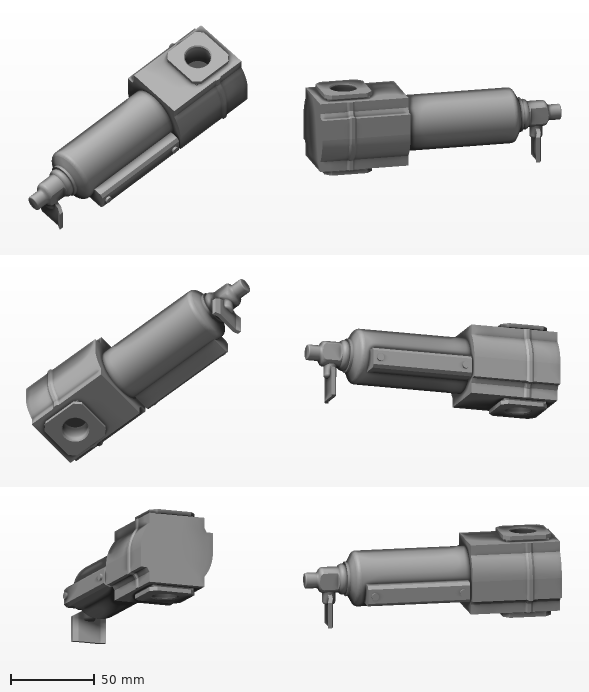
import cadquery as cq
import math

overall_length = 152.8

head_length = 54.5
head_half_height = 21.2
head_half_width = 17.9
cheek_radius = 23.4
shoulder_height = 12.4
shoulder_step = 1.5
shoulder_slope_top = 15.1
rib_depth = 19.0
rib_height = 0.8
rib_base_width = 4.6
rib_top_width = 2.0

flange_width = 29.3
flange_corner = 3.7
flange_outer_height = 25.0
flange_thickness = 2.5
neck_width = 26.3
port_radius = 7.8
port_chamfer = 0.69
port_length = 15.3

bowl_radius = 16.8
bowl_cone_depth = 122.9
bowl_edge_fillet = 3.0
cone_slope = math.tan(math.radians(60))
collar_radius = 10.4
collar_end = 128.2

gauge_start = 56.2
gauge_end = 118.5
gauge_height = shoulder_height
gauge_outer_x = 24.1
gauge_chamfer = 1.8
screw_radius = 2.1
screw_inset = 4.1
screw_end_x = 25.5

bead_depth = 129.9
bead_radius = 9.3
bead_round = 2.8
drain_radius = 7.8
drain_cone_depth = 143.3
drain_edge_fillet = 2.5
tip_radius = 4.7
tip_root_fillet = 1.5
tip_edge_fillet = 0.8
flat_half_width = 6.0
flat_start = 133.5

stem_depth = 138.0
stem_radius = 4.0
stem_bottom = -15.0
stem_fillet = 1.8
lever_half_width = 10.2
lever_bend = 7.0
lever_thickness = 2.5
lever_offset = 1.4
lever_bottom = -27.8
lever_top = -7.5
lever_wing_top = -12.0
lever_top_slope = math.tan(math.radians(30))


def head_outline(offset):
    """Head section in X and Z, its sides moved outward by offset; unchanged by a half turn."""
    side = head_half_width + offset
    radius = cheek_radius + offset
    shoulder = shoulder_height + offset
    arc_end = math.sqrt(radius**2 - side**2)
    arc_angle = math.atan2(arc_end, side) / 2
    mid_x = radius * math.cos(arc_angle)
    mid_z = radius * math.sin(arc_angle)
    return (
        cq.Sketch()
        .segment((side, head_half_height), (side, arc_end))
        .arc((side, arc_end), (mid_x, mid_z), (radius, 0))
        .segment((radius, -shoulder))
        .segment((side + shoulder_step, -shoulder))
        .segment((side, -shoulder_slope_top - offset))
        .segment((side, -head_half_height))
        .segment((-side, -head_half_height))
        .segment((-side, -arc_end))
        .arc((-side, -arc_end), (-mid_x, -mid_z), (-radius, 0))
        .segment((-radius, shoulder))
        .segment((-side - shoulder_step, shoulder))
        .segment((-side, shoulder_slope_top + offset))
        .segment((-side, head_half_height))
        .close()
        .assemble()
    )


def section_plane(depth):
    """Plane across the bowl axis, with local x along X, local y along Z and its normal along -Y."""
    return cq.Workplane("XZ", origin=(0, -depth, 0))


def axial_plane():
    """Plane through the bowl axis for turned profiles, with local x along Y and local y along Z."""
    return cq.Workplane("YZ")


def ring_at(depth):
    """Selector of the round edge that lies at one depth on a turned shape."""
    half_slice = 0.2
    return cq.selectors.BoxSelector(
        (-bowl_radius, -depth - half_slice, -bowl_radius),
        (bowl_radius, -depth + half_slice, bowl_radius),
    )


def head_rib():
    """Trapezoidal band round both flanks of the head."""
    rib_start = rib_depth - rib_base_width / 2
    slope_width = (rib_base_width - rib_top_width) / 2

    def ramp(base_depth, top_depth):
        """Sloping side of the band, from the plain head outline to the raised one."""
        top = head_outline(rib_height).moved(cq.Location(cq.Vector(0, 0, top_depth - base_depth)))
        return section_plane(base_depth).placeSketch(head_outline(0), top).loft(ruled=True)

    rib_end = rib_start + rib_base_width
    top_start = rib_start + slope_width
    top_end = rib_end - slope_width
    middle = section_plane(top_start).placeSketch(head_outline(rib_height)).extrude(rib_top_width)
    return middle.union(ramp(rib_start, top_start)).union(ramp(rib_end, top_end))


def port_flange():
    """Square flange on its neck, on top of the head."""
    underside = flange_outer_height - flange_thickness
    neck = (
        cq.Workplane("XY", origin=(0, -rib_depth, head_half_height))
        .rect(neck_width, neck_width)
        .extrude(underside - head_half_height)
    )
    plate = (
        cq.Workplane("XY", origin=(0, -rib_depth, underside))
        .rect(flange_width, flange_width)
        .extrude(flange_thickness)
        .edges("|Z")
        .chamfer(flange_corner)
    )
    return neck.union(plate)


def port_bore():
    """Blind port bore with a chamfered mouth."""
    mouth_radius = port_radius + port_chamfer
    return (
        cq.Workplane("XZ", origin=(0, -rib_depth, 0))
        .moveTo(0, flange_outer_height)
        .lineTo(mouth_radius, flange_outer_height)
        .lineTo(port_radius, flange_outer_height - port_chamfer)
        .lineTo(port_radius, flange_outer_height - port_length)
        .lineTo(0, flange_outer_height - port_length)
        .close()
        .revolve(360, (0, 0, 0), (0, 1, 0))
    )


def make_head():
    """Head block with its rib, and a flange and port on the top and the bottom."""
    head = section_plane(0).placeSketch(head_outline(0)).extrude(head_length)
    head = head.union(head_rib())
    for turn in (0, 180):
        head = head.union(port_flange().rotate((0, 0, 0), (0, 1, 0), turn))
        head = head.cut(port_bore().rotate((0, 0, 0), (0, 1, 0), turn))
    return head


def make_gauge():
    """Bar beside the bowl with two screw heads on its outer face."""
    bar = (
        cq.Workplane("XY")
        .box(gauge_outer_x, gauge_end - gauge_start, gauge_height, centered=False)
        .translate((0, -gauge_end, -gauge_height))
        .edges("|Y and >X")
        .chamfer(gauge_chamfer)
    )
    for depth in (gauge_start + screw_inset, gauge_end - screw_inset):
        screw = (
            cq.Workplane("YZ", origin=(bowl_radius, -depth, -gauge_height / 2))
            .circle(screw_radius)
            .extrude(screw_end_x - bowl_radius)
        )
        bar = bar.union(screw)
    return bar


def make_bowl():
    """Round bowl with a conical end, a collar for the drain and the level gauge."""
    collar_start = bowl_cone_depth + (bowl_radius - collar_radius) / cone_slope
    bowl = (
        axial_plane()
        .moveTo(-head_length, 0)
        .lineTo(-head_length, bowl_radius)
        .lineTo(-bowl_cone_depth, bowl_radius)
        .lineTo(-collar_start, collar_radius)
        .lineTo(-collar_end, collar_radius)
        .lineTo(-collar_end, 0)
        .close()
        .revolve(360, (0, 0, 0), (1, 0, 0))
    )
    bowl = bowl.edges(ring_at(bowl_cone_depth)).fillet(bowl_edge_fillet)
    return bowl.union(make_gauge())


def flat_waste():
    """Material cut away beside the +X flat, running out to the bead at the slope of the cones."""
    cut_width = bead_radius - flat_half_width
    return (
        cq.Workplane("XY", origin=(0, 0, -bead_radius))
        .moveTo(flat_half_width, -overall_length)
        .lineTo(flat_half_width, -flat_start)
        .lineTo(flat_half_width + cut_width, -flat_start + cut_width / cone_slope)
        .lineTo(flat_half_width + cut_width, -overall_length)
        .close()
        .extrude(2 * bead_radius)
    )


def drain_body():
    """Turned drain body: bead, cylinder with two flats, cone and tip."""
    bead_centre = bead_radius - bead_round
    bead_start_radius = bead_centre + math.sqrt(bead_round**2 - (bead_depth - collar_end) ** 2)
    bead_end = bead_depth + math.sqrt(bead_round**2 - (drain_radius - bead_centre) ** 2)
    tip_root = drain_cone_depth + (drain_radius - tip_radius) / cone_slope
    body = (
        axial_plane()
        .moveTo(-overall_length, 0)
        .lineTo(-overall_length, tip_radius)
        .lineTo(-tip_root, tip_radius)
        .lineTo(-drain_cone_depth, drain_radius)
        .lineTo(-bead_end, drain_radius)
        .radiusArc((-bead_depth, bead_radius), bead_round)
        .radiusArc((-collar_end, bead_start_radius), bead_round)
        .lineTo(-collar_end, 0)
        .close()
        .revolve(360, (0, 0, 0), (1, 0, 0))
    )
    body = body.edges(ring_at(drain_cone_depth)).fillet(drain_edge_fillet)
    body = body.edges(ring_at(tip_root)).fillet(tip_root_fillet)
    body = body.edges(ring_at(overall_length)).fillet(tip_edge_fillet)
    for turn in (0, 180):
        body = body.cut(flat_waste().rotate((0, 0, 0), (0, 1, 0), turn))
    return body


def drain_stem():
    """Round stem that carries the lever below the drain body."""
    return (
        cq.Workplane("XY", origin=(0, -stem_depth, 0))
        .circle(stem_radius)
        .extrude(stem_bottom)
        .faces("<Z")
        .edges()
        .fillet(stem_fillet)
    )


def drain_lever():
    """Plate with one wing bent back and one bent forward, its top corners cut at a slope."""
    half_thickness = lever_thickness / 2
    plate = (
        cq.Workplane("XY", origin=(0, -stem_depth, lever_bottom))
        .moveTo(-lever_half_width, lever_offset + half_thickness)
        .lineTo(-lever_bend, half_thickness)
        .lineTo(lever_bend, half_thickness)
        .lineTo(lever_half_width, half_thickness - lever_offset)
        .lineTo(lever_half_width, -half_thickness - lever_offset)
        .lineTo(lever_bend, -half_thickness)
        .lineTo(-lever_bend, -half_thickness)
        .lineTo(-lever_half_width, lever_offset - half_thickness)
        .close()
        .extrude(lever_top - lever_bottom)
    )
    top_half_width = lever_half_width - (lever_top - lever_wing_top) / lever_top_slope
    outline_depth = stem_depth - lever_offset - lever_thickness
    outline = (
        section_plane(outline_depth)
        .moveTo(-lever_half_width, lever_bottom)
        .lineTo(-lever_half_width, lever_wing_top)
        .lineTo(-top_half_width, lever_top)
        .lineTo(top_half_width, lever_top)
        .lineTo(lever_half_width, lever_wing_top)
        .lineTo(lever_half_width, lever_bottom)
        .close()
        .extrude(2 * (lever_offset + lever_thickness))
    )
    return plate.intersect(outline)


def make_drain():
    """Drain valve with its stem and lever."""
    return drain_body().union(drain_stem()).union(drain_lever())


head = make_head()
bowl = make_bowl()
drain = make_drain()
result = cq.Compound.makeCompound([*head.solids().vals(), *bowl.solids().vals(), *drain.solids().vals()])